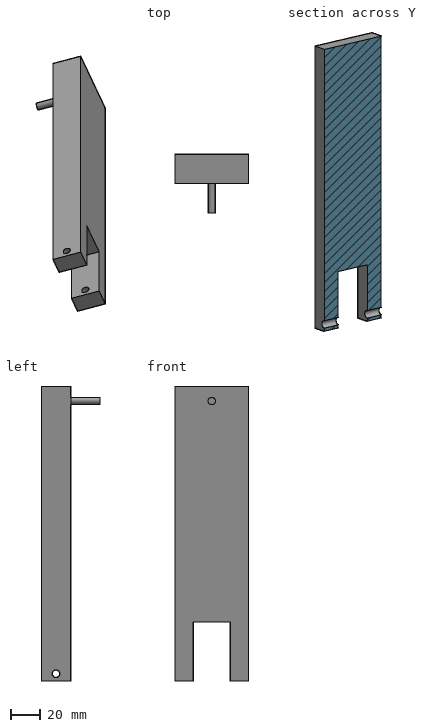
import cadquery as cq

height = 200.0
width = 50.0
thickness = 20.0

slot_width = width / 2
slot_height = 40.0

pin_diameter = 5.0
pin_length = 20.0
pin_drop = 10.0
hole_diameter = 5.0
hole_height = 5.0


def make_bar():
    """Upright bar standing on Z = 0, centred on X and Y."""
    return cq.Workplane("XY").box(width, thickness, height, centered=(True, True, False))


def make_slot():
    """Cutter that splits the lower end into two legs."""
    return cq.Workplane("XY").box(slot_width, thickness, slot_height, centered=(True, True, False))


def make_hole():
    """Cutter along X through both legs."""
    return (
        cq.Workplane("YZ")
        .center(0, hole_height)
        .circle(hole_diameter / 2)
        .extrude(width / 2, both=True)
    )


def make_pin():
    """Round pin pointing toward -Y from the front face."""
    return (
        cq.Workplane("XZ", origin=(0, -thickness / 2, height - pin_drop))
        .circle(pin_diameter / 2)
        .extrude(pin_length)
    )


result = make_bar().cut(make_slot()).cut(make_hole()).union(make_pin())